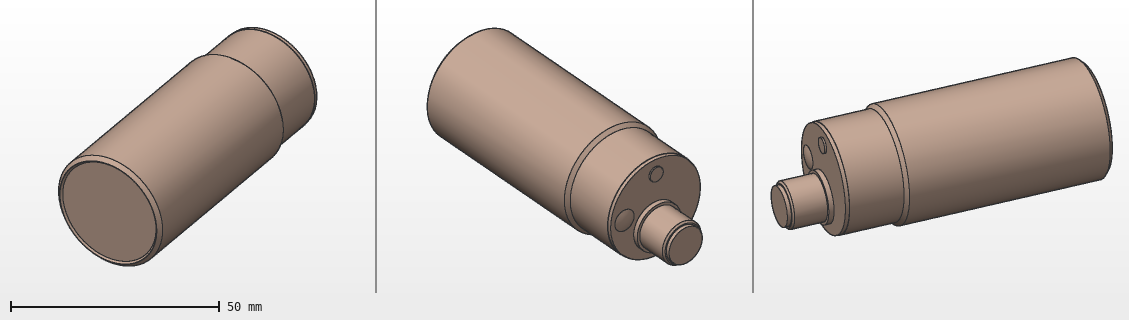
import cadquery as cq

total_length = 80.5
sleeve_diameter = 30.0

neck_diameter = 28.0
sleeve_end = 53.9
sleeve_chamfer = (sleeve_diameter - neck_diameter) / 2
face_diameter = 26.9
face_recess = 0.5
rim_width = 0.1

cap_diameter = 27.8
cap_bottom = 68.0
cap_top = 69.1

connector_z = -5.0
flange_diameter = 13.5
flange_top = 70.4
plug_diameter = 12.0
tip_diameter = 10.3
plug_top = 79.45
plug_chamfer = 0.5

button_diameter = 4.0
button_height = 0.5
button_z = 9.8
lens_diameter = 5.95
lens_height = 0.65
lens_x = 9.6
lens_z = 0.4


def cylinder(diameter, start, end, x=0, z=0):
    """Cylinder along +Y between two Y positions."""
    axis_start = cq.Vector(x, start, z)
    return cq.Workplane(cq.Solid.makeCylinder(diameter / 2, end - start, axis_start, cq.Vector(0, 1, 0)))


def make_housing():
    sleeve = cylinder(sleeve_diameter, 0, sleeve_end).edges().chamfer(sleeve_chamfer)
    neck = cylinder(neck_diameter, sleeve_end, cap_bottom)
    cap = cylinder(cap_diameter, cap_bottom, cap_top)
    return sleeve.union(neck).union(cap)


def make_face_recess():
    """Shallow cone that narrows from the front rim to the sensing face."""
    rim_radius = neck_diameter / 2 - rim_width
    cone = cq.Solid.makeCone(
        rim_radius, face_diameter / 2, face_recess, cq.Vector(0, 0, 0), cq.Vector(0, 1, 0)
    )
    return cq.Workplane(cone)


def make_connector():
    flange = cylinder(flange_diameter, cap_bottom, flange_top, z=connector_z)
    plug = cylinder(plug_diameter, flange_top, plug_top, z=connector_z).faces(">Y").chamfer(plug_chamfer)
    tip = cylinder(tip_diameter, plug_top, total_length, z=connector_z)
    return flange.union(plug).union(tip)


def make_button():
    return cylinder(button_diameter, cap_bottom, cap_top + button_height, z=button_z)


def make_lens():
    """Shallow spherical dome standing on the end cap."""
    base_radius = lens_diameter / 2
    sphere_radius = (base_radius**2 + lens_height**2) / (2 * lens_height)
    sphere_center_y = cap_top + lens_height - sphere_radius
    sphere = cq.Workplane().sphere(sphere_radius).translate((lens_x, sphere_center_y, lens_z))
    base = cylinder(lens_diameter, cap_bottom, flange_top, lens_x, lens_z)
    return base.intersect(sphere)


housing = make_housing().cut(make_face_recess())
result = housing.union(make_connector()).union(make_button()).union(make_lens())